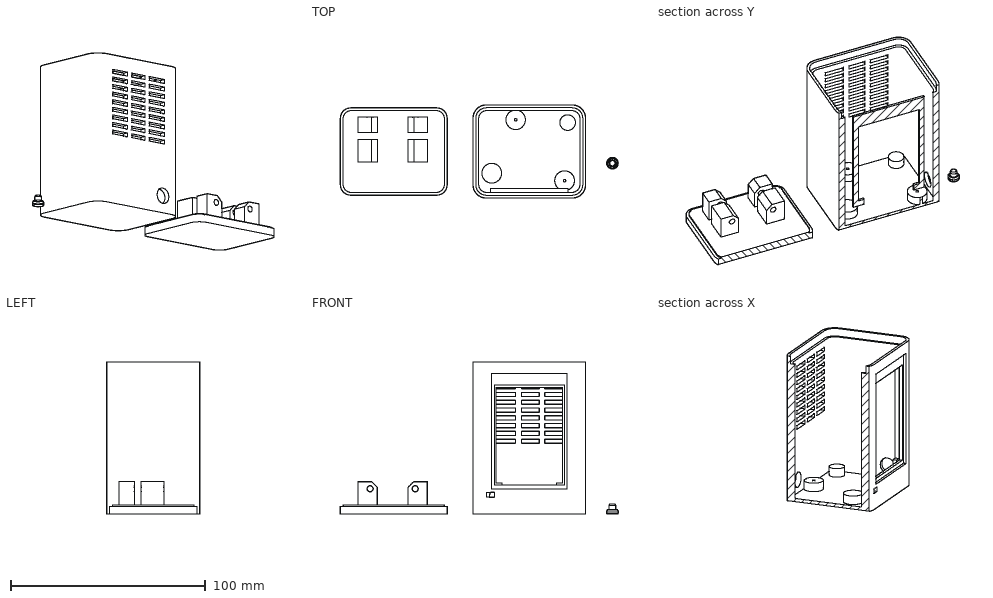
import cadquery as cq

housing_x = 58.0
housing_y = 48.0
housing_z = 78.0
corner_radius = 7.0
wall = 3.0
floor_thickness = 2.0

lid_x = 55.0
lid_y = 45.0
lid_thickness = 4.0
lip_height = 0.7
lid_gap = 13.1
rebate_depth = 4.0

cavity_x = housing_x - 2 * wall
cavity_y = housing_y - 2 * wall
lid_corner_radius = corner_radius - (housing_x - lid_x) / 2
cavity_corner_radius = corner_radius - wall

front_y = -housing_y / 2
back_y = housing_y / 2
inner_front_y = front_y + wall
inner_back_y = back_y - wall

bezel_x = 39.0
bezel_z = 59.2
bezel_bottom = 13.0
bezel_depth = 1.4
opening_x = 36.0
opening_z = 51.2
opening_bottom = 15.0
inner_opening_x = 34.0
inner_opening_z = 49.0
inner_opening_bottom = 16.0
notch_x = 28.0
frame_x = 40.0
frame_z = 60.4
frame_thickness = 2.0

slot_columns = [(-17.4, -7.1), (-4.0, 5.0), (8.0, 18.0)]
slot_rows = 9
slot_height = 2.0
slot_pitch = 4.0
slot_bottom = 36.4

front_hole_x = 4.0
front_hole_z = 2.4
front_hole_bottom = 8.7
back_hole_diameter = 8.0
back_hole_center_x = -16.4
back_hole_center_z = 9.0
side_pocket_diameter = 8.0
side_pocket_depth = 2.0
side_pocket_center_y = -10.7
side_pocket_center_z = 8.4

boss_height = 4.5
bosses = [
    (-7.0, 16.3, 10.0, True),
    (19.7, 14.8, 8.0, False),
    (-19.3, -11.1, 10.1, False),
    (18.1, -15.0, 10.1, True),
]
pilot_diameter = 1.27

block_x = 10.0
block_height = 12.0
block_chamfer = 3.0
block_center_x = 12.8
block_shift_x = -0.5
block_rows = [(9.7, 17.7), (-5.4, 6.3)]
block_hole_diameter = 3.0
block_hole_inset = 3.7
block_hole_z = 13.0

button_gap = 10.7
button_y = -6.0
head_diameter = 6.0
head_bottom_diameter = 5.5
head_top_diameter = 4.9
head_height = 2.4
stem_diameter = 3.5
stem_tip_diameter = 2.7
button_height = 5.3
bottom_chamfer_height = 0.5
top_chamfer_height = 0.9
tip_chamfer_height = 0.9


def rounded_plate(size_x, size_y, height, radius, bottom):
    """A box with rounded vertical edges, centred on the Z axis."""
    plate = cq.Workplane("XY").workplane(offset=bottom).rect(size_x, size_y).extrude(height)
    return plate.edges("|Z").fillet(radius)


def block(x_range, y_range, z_range):
    """A box given by its limits along each axis."""
    sizes = [high - low for low, high in (x_range, y_range, z_range)]
    corner = (x_range[0], y_range[0], z_range[0])
    return cq.Workplane("XY").box(*sizes, centered=False).translate(corner)


def centred_block(size_x, y_range, bottom, height):
    """A box centred on X = 0."""
    return block((-size_x / 2, size_x / 2), y_range, (bottom, bottom + height))


def make_bosses(cavity):
    """Floor bosses, trimmed by the cavity wall."""
    shapes = []
    for x, y, diameter, has_pilot in bosses:
        boss = cq.Workplane("XY").workplane(offset=floor_thickness).center(x, y).circle(diameter / 2)
        if has_pilot:
            boss = boss.circle(pilot_diameter / 2)
        shapes.append(boss.extrude(boss_height).intersect(cavity))
    return shapes


def add_display_window(body):
    """Adds the frame behind the front wall, then cuts the recess and the openings through both."""
    frame_bottom = bezel_bottom - (frame_z - bezel_z) / 2
    frame_back = inner_front_y + frame_thickness
    notch_height = inner_opening_bottom - frame_bottom
    body = body.union(centred_block(frame_x, (inner_front_y, frame_back), frame_bottom, frame_z))
    body = body.cut(centred_block(bezel_x, (front_y, front_y + bezel_depth), bezel_bottom, bezel_z))
    body = body.cut(centred_block(opening_x, (front_y, inner_front_y), opening_bottom, opening_z))
    inner_opening_y = (inner_front_y, frame_back)
    body = body.cut(centred_block(inner_opening_x, inner_opening_y, inner_opening_bottom, inner_opening_z))
    return body.cut(centred_block(notch_x, inner_opening_y, frame_bottom, notch_height))


def cut_ventilation_slots(body):
    for left, right in slot_columns:
        for row in range(slot_rows):
            bottom = slot_bottom + row * slot_pitch
            body = body.cut(block((left, right), (inner_back_y, back_y), (bottom, bottom + slot_height)))
    return body


def cut_small_openings(body):
    """Cuts the front cable hole, the round hole through the back and the blind pocket in the +X wall."""
    hole_left = corner_radius - housing_x / 2
    front_hole = block(
        (hole_left, hole_left + front_hole_x),
        (front_y, inner_front_y),
        (front_hole_bottom, front_hole_bottom + front_hole_z),
    )
    back_plane = cq.Workplane("XZ", origin=(back_hole_center_x, back_y, back_hole_center_z))
    back_hole = back_plane.circle(back_hole_diameter / 2).extrude(wall)
    side_plane = cq.Workplane("YZ", origin=(cavity_x / 2, side_pocket_center_y, side_pocket_center_z))
    side_pocket = side_plane.circle(side_pocket_diameter / 2).extrude(side_pocket_depth)
    return body.cut(front_hole).cut(back_hole).cut(side_pocket)


def make_housing():
    cavity = rounded_plate(cavity_x, cavity_y, housing_z, cavity_corner_radius, floor_thickness)
    rebate = rounded_plate(lid_x, lid_y, rebate_depth, lid_corner_radius, housing_z - rebate_depth)
    body = rounded_plate(housing_x, housing_y, housing_z, corner_radius, 0).cut(cavity).cut(rebate)
    for boss in make_bosses(cavity):
        body = body.union(boss)
    body = add_display_window(body)
    body = cut_ventilation_slots(body)
    return cut_small_openings(body)


def make_hinge_block(side, y_range):
    """One block; side is -1 for the left one and 1 for the right one, chamfered towards the middle."""
    top = lid_thickness + lip_height + block_height
    outer = side * (block_center_x + block_x / 2)
    inner = side * (block_center_x - block_x / 2)
    profile = [
        (outer, lid_thickness),
        (inner, lid_thickness),
        (inner, top - block_chamfer),
        (inner + side * block_chamfer, top),
        (outer, top),
    ]
    front, back = y_range
    plane = cq.Workplane("XZ", origin=(block_shift_x, back, 0))
    body = plane.polyline(profile).close().extrude(back - front)
    hole_plane = cq.Workplane("XZ", origin=(block_shift_x + inner + side * block_hole_inset, back, block_hole_z))
    return body.cut(hole_plane.circle(block_hole_diameter / 2).extrude(back - front))


def make_lid():
    body = rounded_plate(lid_x, lid_y, lid_thickness, lid_corner_radius, 0)
    body = body.union(rounded_plate(cavity_x, cavity_y, lip_height, cavity_corner_radius, lid_thickness))
    for y_range in block_rows:
        for side in (-1, 1):
            body = body.union(make_hinge_block(side, y_range))
    return body.translate((-(housing_x + lid_x) / 2 - lid_gap, 0, 0))


def make_button():
    """A turned button: chamfered head at the bottom, narrower stem with a tapered tip above."""
    profile = [
        (0, 0),
        (head_bottom_diameter / 2, 0),
        (head_diameter / 2, bottom_chamfer_height),
        (head_diameter / 2, head_height - top_chamfer_height),
        (head_top_diameter / 2, head_height),
        (stem_diameter / 2, head_height),
        (stem_diameter / 2, button_height - tip_chamfer_height),
        (stem_tip_diameter / 2, button_height),
        (0, button_height),
    ]
    turned = cq.Workplane("XZ").polyline(profile).close().revolve(360, (0, 0, 0), (0, 1, 0))
    return turned.translate((housing_x / 2 + button_gap + head_diameter / 2, button_y, 0))


housing = make_housing()
lid = make_lid()
button = make_button()

result = cq.Compound.makeCompound([housing.val(), lid.val(), button.val()])